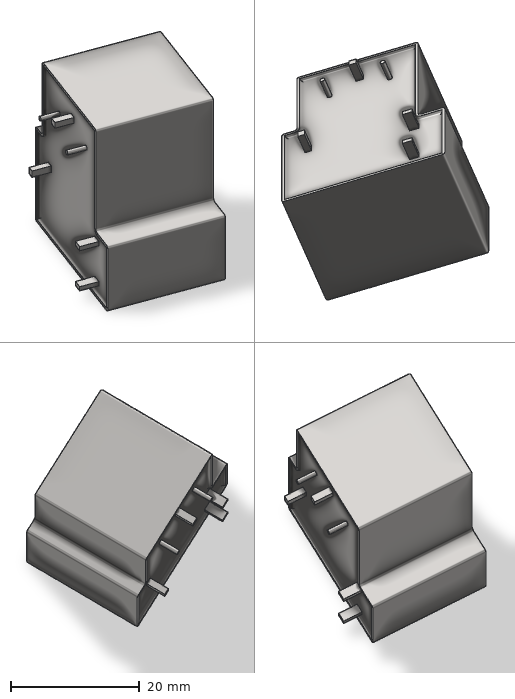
import cadquery as cq

width = 27.0
height = 32.0
total_depth = 23.0
pin_projection = 2.8
case_depth = total_depth - pin_projection
left_step_width = 2.5
left_step_drop = 14.0
right_step_width = 4.4
right_step_drop = 19.5
corner_radius = 0.48
back_edge_radius = 0.25

rim_thickness = 0.48
recess_depth = 0.5
recess_floor_radius = 0.48

coil_diameter = 0.8
coil_spacing = 10.0
coil_drop = 6.7
common_long_side = 1.2
common_short_side = 1.1
top_common_x = 12.75
top_common_drop = 4.32
left_common_x = 4.22
left_common_drop = 19.25
contact_width = 1.57
contact_height = 0.8
contact_x = 21.8
normally_open_drop = 21.92
normally_closed_drop = 29.6


def front_plane(y):
    """Sketch plane facing -Y at the given depth, with local axes along X and Z."""
    return cq.Workplane("XZ", origin=(0, y, 0))


def stepped_prism(inset, depth):
    """Case outline shrunk by inset on every side, running back from the front rim."""
    left = inset
    right = width - inset
    bottom = inset
    top = height - inset
    upper_left = left_step_width + inset
    upper_right = width - right_step_width - inset
    left_step = height - left_step_drop - inset
    right_step = height - right_step_drop - inset
    outline = [
        (left, bottom),
        (right, bottom),
        (right, right_step),
        (upper_right, right_step),
        (upper_right, top),
        (upper_left, top),
        (upper_left, left_step),
        (left, left_step),
    ]
    return front_plane(0).polyline(outline).close().extrude(-depth)


def inner_step_corners(inset):
    """Selector for the two long edges in the inward corners of the steps."""
    reach = 0.03
    corners = [
        (left_step_width + inset, height - left_step_drop - inset),
        (width - right_step_width - inset, height - right_step_drop - inset),
    ]
    boxes = [
        cq.selectors.BoxSelector((x - reach, 0, z - reach), (x + reach, case_depth, z + reach))
        for x, z in corners
    ]
    return boxes[0] + boxes[1]


def make_case():
    case = stepped_prism(0, case_depth).edges("|Y").fillet(corner_radius)
    return case.faces(">Y").edges().fillet(back_edge_radius)


def make_recess():
    recess = stepped_prism(rim_thickness, recess_depth)
    recess = recess.edges(inner_step_corners(rim_thickness)).fillet(corner_radius + rim_thickness)
    return recess.faces(">Y").edges().fillet(recess_floor_radius)


def pin_sketch(x, drop):
    return front_plane(recess_depth).center(x, height - drop)


def rectangular_pin(x, drop, pin_width, pin_height):
    return pin_sketch(x, drop).rect(pin_width, pin_height).extrude(recess_depth + pin_projection)


def coil_pin(x):
    return pin_sketch(x, coil_drop).circle(coil_diameter / 2).extrude(recess_depth + pin_projection)


pins = [
    coil_pin(top_common_x - coil_spacing / 2),
    coil_pin(top_common_x + coil_spacing / 2),
    rectangular_pin(top_common_x, top_common_drop, common_long_side, common_short_side),
    rectangular_pin(left_common_x, left_common_drop, common_short_side, common_long_side),
    rectangular_pin(contact_x, normally_open_drop, contact_width, contact_height),
    rectangular_pin(contact_x, normally_closed_drop, contact_width, contact_height),
]

result = make_case().cut(make_recess())
for pin in pins:
    result = result.union(pin)